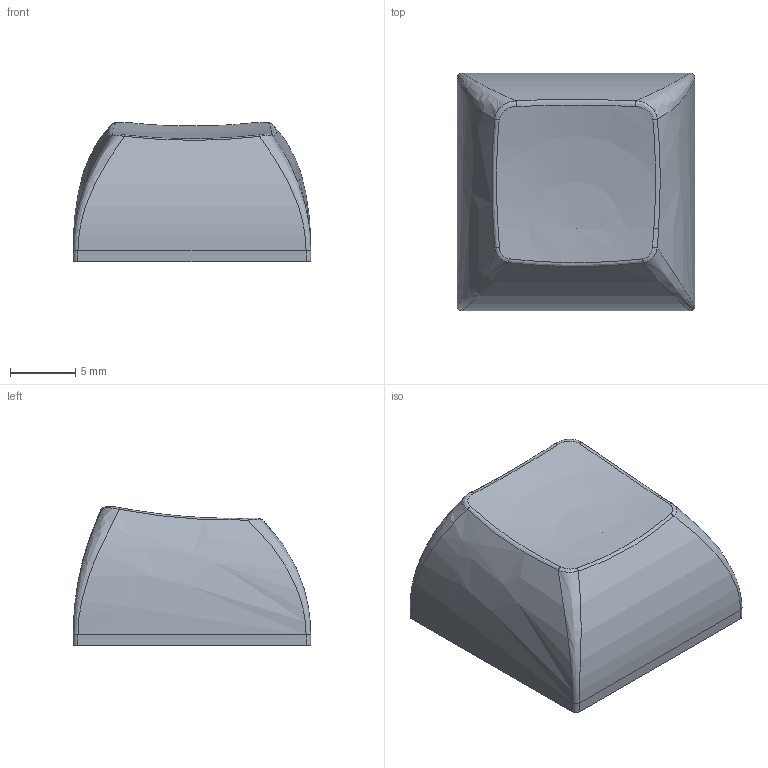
import cadquery as cq
import math

BASE_SIZE = 18.2
HALF_BASE = BASE_SIZE / 2
BAND_HEIGHT = 0.83

BLANK_HEIGHT = 10.95
WALL_RISE = BLANK_HEIGHT - BAND_HEIGHT

FRONT_WALL_RADIUS = 12.3
BACK_WALL_RADIUS = 22.6
SIDE_RADIUS_AT_FRONT = 13.6
SIDE_INSET_AT_BACK = 3.1
SIDE_CONTROL_RISE = 7.3

CORNER_RADIUS_BOTTOM = 0.36
CORNER_RADIUS_TOP = 1.65

DISH_RADIUS = 43.0
DISH_LOWEST_Y = -2.82
DISH_LOWEST_Z = 9.33
RIM_RADIUS = 0.4


def arc_inset(radius, rise):
    """Inward lean, after the given rise, of an arc that starts vertically."""
    return radius - math.sqrt(radius**2 - rise**2)


def arc_point(radius, rise):
    """Point (across, up) of a wall arc on the positive side."""
    return HALF_BASE - arc_inset(radius, rise), BAND_HEIGHT + rise


def mirrored(point):
    """The same point on the negative side."""
    return -point[0], point[1]


def front_end_profile():
    """Outline of the side walls at the front edge of the base."""
    middle = arc_point(SIDE_RADIUS_AT_FRONT, WALL_RISE / 2)
    top = arc_point(SIDE_RADIUS_AT_FRONT, WALL_RISE)
    return (
        cq.Workplane("XZ", origin=(0, -HALF_BASE, 0))
        .moveTo(-HALF_BASE, 0)
        .lineTo(HALF_BASE, 0)
        .lineTo(HALF_BASE, BAND_HEIGHT)
        .threePointArc(middle, top)
        .lineTo(*mirrored(top))
        .threePointArc(mirrored(middle), (-HALF_BASE, BAND_HEIGHT))
        .close()
        .val()
    )


def back_end_profile():
    """Outline of the side walls at the back edge of the base."""
    start = (HALF_BASE, BAND_HEIGHT)
    control = (HALF_BASE, BAND_HEIGHT + SIDE_CONTROL_RISE)
    top = (HALF_BASE - SIDE_INSET_AT_BACK, BLANK_HEIGHT)
    return (
        cq.Workplane("XZ", origin=(0, HALF_BASE, 0))
        .moveTo(-HALF_BASE, 0)
        .lineTo(HALF_BASE, 0)
        .lineTo(*start)
        .bezier([start, control, top])
        .lineTo(*mirrored(top))
        .bezier([mirrored(top), mirrored(control), mirrored(start)])
        .close()
        .val()
    )


def side_walls():
    """Body ruled from the front-end profile to the back-end profile."""
    loft = cq.Solid.makeLoft([front_end_profile(), back_end_profile()], True)
    return cq.Workplane(obj=loft)


def front_and_back_walls():
    """Body whose front and back are arcs running straight along X."""
    front_middle = mirrored(arc_point(FRONT_WALL_RADIUS, WALL_RISE / 2))
    front_top = mirrored(arc_point(FRONT_WALL_RADIUS, WALL_RISE))
    back_middle = arc_point(BACK_WALL_RADIUS, WALL_RISE / 2)
    back_top = arc_point(BACK_WALL_RADIUS, WALL_RISE)
    return (
        cq.Workplane("YZ")
        .moveTo(-HALF_BASE, 0)
        .lineTo(HALF_BASE, 0)
        .lineTo(HALF_BASE, BAND_HEIGHT)
        .threePointArc(back_middle, back_top)
        .lineTo(*front_top)
        .threePointArc(front_middle, (-HALF_BASE, BAND_HEIGHT))
        .close()
        .extrude(HALF_BASE, both=True)
    )


def round_corners(body):
    """Round the four upright corners with a radius that grows from the band to the top."""
    solid = body.val()
    maker = cq.occ_impl.shapes.BRepFilletAPI_MakeFillet(solid.wrapped)
    wall_corners = [edge for edge in solid.Edges() if edge.BoundingBox().zlen > WALL_RISE / 2]
    for edge in wall_corners:
        maker.Add(edge.wrapped)
        starts_at_base = cq.Vertex(maker.FirstVertex(maker.NbContours())).Z < BAND_HEIGHT
        maker.Remove(edge.wrapped)
        if starts_at_base:
            maker.Add(CORNER_RADIUS_BOTTOM, CORNER_RADIUS_TOP, edge.wrapped)
        else:
            maker.Add(CORNER_RADIUS_TOP, CORNER_RADIUS_BOTTOM, edge.wrapped)
    rounded = cq.Shape.cast(maker.Shape())
    return cq.Workplane(obj=rounded.Solids()[0])


def cut_dish(body):
    """Scoop the finger dish out of the top, which also trims the blank to height."""
    sphere = cq.Workplane("XY").sphere(DISH_RADIUS)
    return body.cut(sphere.translate((0, DISH_LOWEST_Y, DISH_LOWEST_Z + DISH_RADIUS)))


blank = side_walls().intersect(front_and_back_walls())
dished = cut_dish(round_corners(blank))
result = dished.faces("%SPHERE").edges().fillet(RIM_RADIUS)